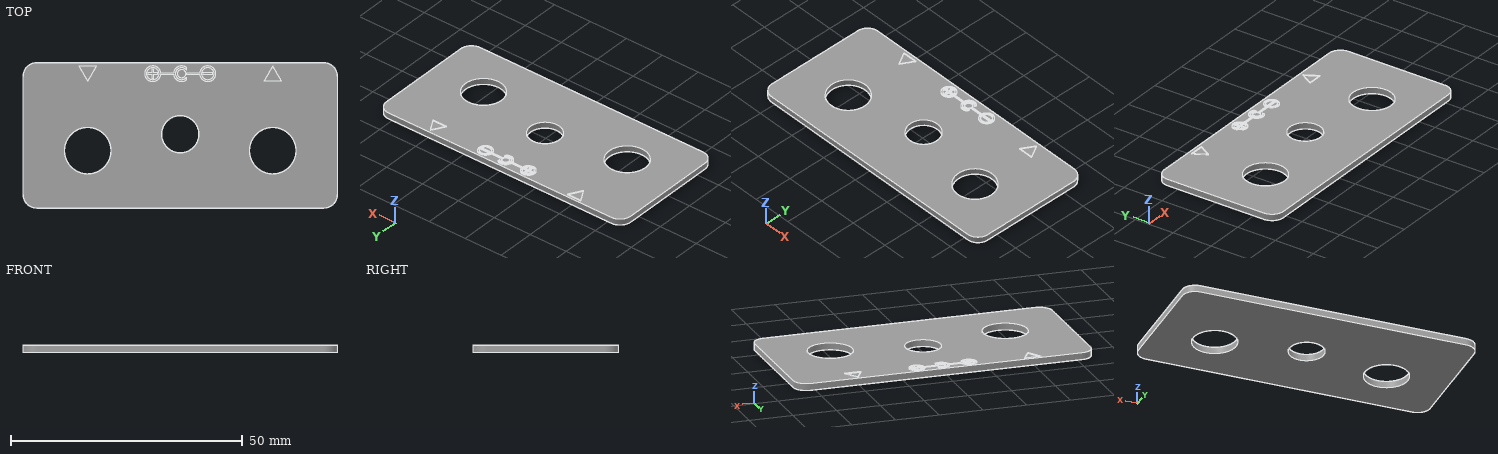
import cadquery as cq
import math

length = 68.0
width = 31.5
thickness = 1.6
corner_radius = 3.0

jack_spacing = 40.0
jack_diameter = 10.0
jack_y = -3.3
power_diameter = 8.0
power_y = 0.25

engrave_depth = 0.2
symbol_row_y = 13.35
triangle_side = 3.75
triangle_height = triangle_side * math.sqrt(3) / 2
wire_stroke = 0.3
sign_stroke = 0.4
ring_stroke = 0.4
ring_radius = 1.72
polarity_offset = 5.95
sign_length = 2.0
socket_x = 0.3
socket_opening = 1.05
pin_radius = 0.9

engrave_floor = thickness / 2 - engrave_depth


def make_plate():
    """Flat plate centred on the origin, with rounded corners."""
    return cq.Workplane("XY").box(length, width, thickness).edges("|Z").fillet(corner_radius)


def drill(plate, x, y, diameter):
    """Round hole through the whole plate."""
    bottom = cq.Workplane("XY", origin=(x, y, -thickness / 2))
    return plate.cut(bottom.circle(diameter / 2).extrude(thickness))


def symbol_plane(x):
    """Workplane on the engraving floor, centred at x on the symbol row."""
    return cq.Workplane("XY", origin=(x, symbol_row_y, engrave_floor))


def triangle(x, direction):
    """Equilateral arrow; direction is 1 for pointing to +Y and -1 for -Y."""
    half_side = triangle_side / 2
    tip_y = direction * triangle_height / 2
    outline = [(-half_side, -tip_y), (half_side, -tip_y), (0, tip_y)]
    return symbol_plane(x).polyline(outline).close().extrude(engrave_depth)


def ring(x):
    """Circular groove of the polarity symbol."""
    return symbol_plane(x).circle(ring_radius).circle(ring_radius - ring_stroke).extrude(engrave_depth)


def wire(start_x, end_x):
    """Straight groove along X between two points of the symbol row."""
    middle_x = (start_x + end_x) / 2
    return symbol_plane(middle_x).rect(end_x - start_x, wire_stroke).extrude(engrave_depth)


def socket():
    """Ring cut open on its +X side, around a round pin."""
    opening = symbol_plane(socket_x + socket_opening + ring_radius / 2)
    opening = opening.rect(ring_radius, 2 * ring_radius).extrude(engrave_depth)
    pin = symbol_plane(socket_x).circle(pin_radius).extrude(engrave_depth)
    return ring(socket_x).cut(opening).union(pin)


def polarity_symbol():
    """Plus ring, open socket ring and minus ring, with a wire on each side of the socket."""
    horizontal_bar = symbol_plane(0).rect(sign_length, sign_stroke).extrude(engrave_depth)
    vertical_bar = symbol_plane(0).rect(sign_stroke, sign_length).extrude(engrave_depth)
    wire_reach = polarity_offset - ring_radius + ring_stroke / 2
    symbol = socket()
    for x in (-polarity_offset, polarity_offset):
        symbol = symbol.union(ring(x)).union(horizontal_bar.translate((x, 0, 0)))
    symbol = symbol.union(vertical_bar.translate((-polarity_offset, 0, 0)))
    symbol = symbol.union(wire(-wire_reach, socket_x - ring_radius + ring_stroke / 2))
    return symbol.union(wire(socket_x + socket_opening, wire_reach))


result = make_plate()
for side in (-1, 1):
    jack_x = side * jack_spacing / 2
    result = drill(result, jack_x, jack_y, jack_diameter)
    result = result.cut(triangle(jack_x, side))
result = drill(result, 0, power_y, power_diameter)
result = result.cut(polarity_symbol())